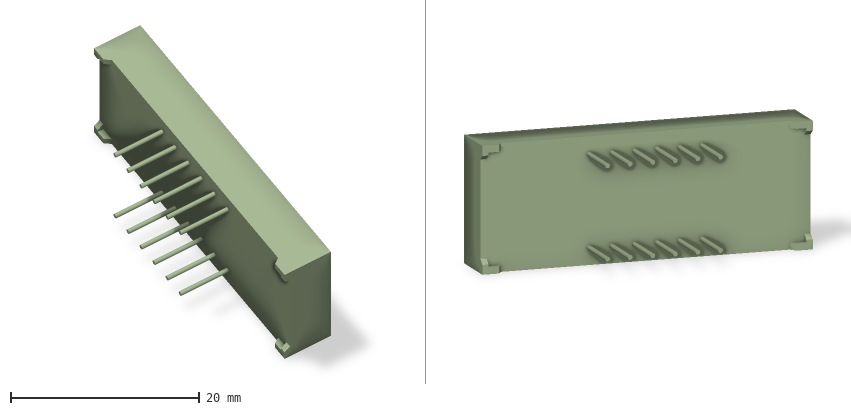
import cadquery as cq

length = 37.14
height = 14.0
total_depth = 11.16
pin_length = 6.0
body_depth = total_depth - pin_length

foot_height = 0.7
arm_slope_run = 0.52
long_arm_length = 2.36
long_arm_width = 0.76
short_arm_length = 1.6
short_arm_width = 0.7

pin_diameter = 0.52
pin_pitch = 2.54
pins_per_row = 6
row_spacing = 10.16

half_length = length / 2
half_height = height / 2


def make_body():
    return cq.Workplane("XY").box(length, body_depth, height).translate((0, body_depth / 2, 0))


def arm_profile(plane, arm_length):
    """Arm outline from the outer edge at -arm_length to its sloped free end at 0."""
    return (
        cq.Workplane(plane)
        .moveTo(-arm_length, 0)
        .lineTo(0, 0)
        .lineTo(-arm_slope_run, -foot_height)
        .lineTo(-arm_length, -foot_height)
        .close()
    )


def make_foot():
    """Foot at the -X, -Z corner of the rear face."""
    upright_plane = cq.Plane(origin=(0, 0, 0), xDir=(0, 0, 1), normal=(-1, 0, 0))
    long_arm = (
        arm_profile("XY", long_arm_length)
        .extrude(long_arm_width)
        .translate((long_arm_length - half_length, 0, -half_height))
    )
    short_arm = (
        arm_profile(upright_plane, short_arm_length)
        .extrude(-short_arm_width)
        .translate((-half_length, 0, short_arm_length - half_height))
    )
    return long_arm.union(short_arm)


def make_feet():
    bottom_left = make_foot()
    bottom_pair = bottom_left.union(bottom_left.mirror("YZ"))
    return bottom_pair.union(bottom_pair.mirror("XY"))


def make_pins():
    return (
        cq.Workplane("XZ")
        .rarray(pin_pitch, row_spacing, pins_per_row, 2)
        .circle(pin_diameter / 2)
        .extrude(pin_length)
    )


result = make_body().union(make_feet()).union(make_pins())